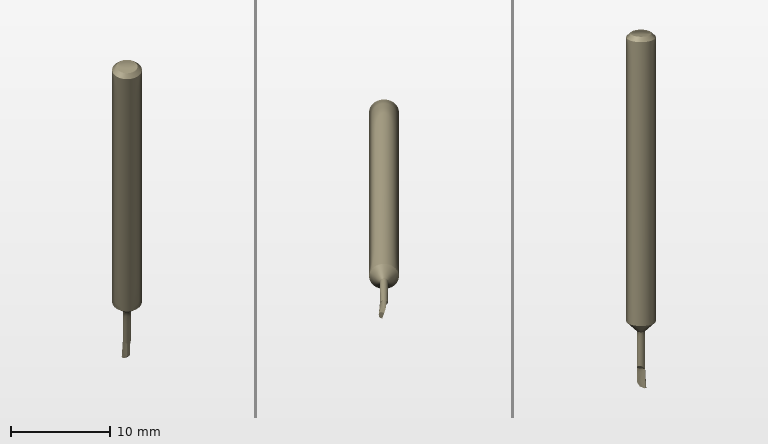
import cadquery as cq

total_length = 38.0
shank_radius = 1.5
back_face_radius = 1.05
back_chamfer_height = 0.4
neck_radius = 0.4
neck_top = 6.08
cone_height = 1.05

neck_bottom = 2.05
head_radius = 0.55
facet_x_ratio = 0.85
facet_y_ratio = (1 - facet_x_ratio**2) ** 0.5
nose_x = -0.45
nose_corner_z = 0.1
end_edge_x = 0.2
end_edge_z = 0.08
corner_bevel_top_z = 0.55

rake_y_at_tip = -0.05
rake_y_at_left = -0.15
rake_y_at_right = 0.2
ramp_reach = 0.75
clearance = 0.2


def revolved_body():
    """Chamfered shank, cone and slender neck."""
    return (
        cq.Workplane("XZ")
        .moveTo(0, neck_bottom)
        .lineTo(neck_radius, neck_bottom)
        .lineTo(neck_radius, neck_top)
        .lineTo(shank_radius, neck_top + cone_height)
        .lineTo(shank_radius, total_length - back_chamfer_height)
        .lineTo(back_face_radius, total_length)
        .lineTo(0, total_length)
        .close()
        .revolve(360, (0, 0, 0), (0, 1, 0))
    )


def head_outline(plane, radius):
    """Circle with a flat facet that starts at a ridge on the -Y side."""
    diagonal = radius * 0.5**0.5
    facet_x = facet_x_ratio * radius
    facet_y = -facet_y_ratio * radius
    return (
        plane.moveTo(0, -radius)
        .lineTo(facet_x, facet_y)
        .threePointArc((diagonal, diagonal), (0, radius))
        .threePointArc((-radius, 0), (0, -radius))
        .close()
    )


def head_blank():
    """Head tapering from its full size at the tip up to the neck."""
    tip = head_outline(cq.Workplane("XY"), head_radius)
    return head_outline(tip.workplane(offset=neck_bottom), neck_radius).loft(ruled=True)


def end_profile():
    """Prism that shapes the nose, the sloping end and the beveled corner."""
    return (
        cq.Workplane("XZ")
        .polyline([
            (nose_x, 0),
            (end_edge_x, end_edge_z),
            (head_radius, corner_bevel_top_z),
            (head_radius, neck_bottom),
            (-head_radius, neck_bottom),
            (-head_radius, nose_corner_z),
        ])
        .close()
        .extrude(head_radius + clearance, both=True)
    )


def rake_profile(plane, rake_y):
    """Side outline of the pocket: rake face, 45 degree ramp and open outside."""
    outside_y = rake_y + ramp_reach
    return plane.polyline([
        (rake_y_at_tip, 0),
        (rake_y, neck_bottom),
        (outside_y, neck_bottom + ramp_reach),
        (outside_y, 0),
    ]).close()


def rake_pocket():
    """Pocket whose rake face twists from the left side to the right side."""
    left = rake_profile(cq.Workplane("YZ", origin=(-head_radius, 0, 0)), rake_y_at_left)
    return rake_profile(left.workplane(offset=2 * head_radius), rake_y_at_right).loft(ruled=True)


head = head_blank().intersect(end_profile())
result = revolved_body().union(head).cut(rake_pocket())